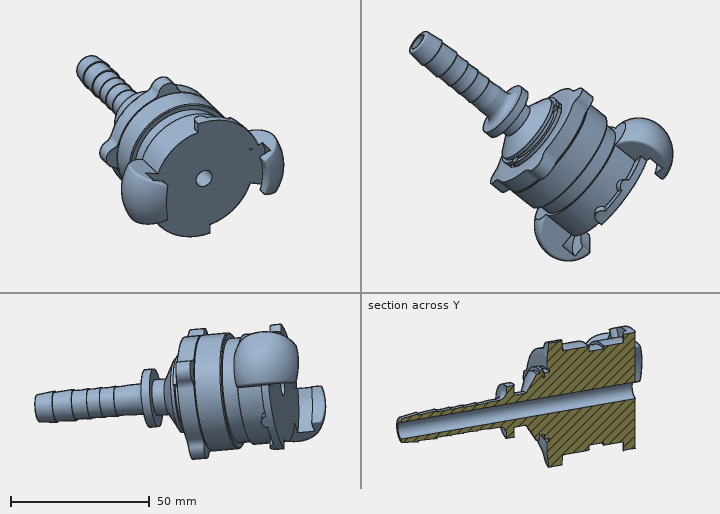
import cadquery as cq
import math

length = 101.7
bore_d = 6.5

tip_d = 10.0
tip_round = 0.7
stem_d = 10.5
large_barb_d = 11.4
large_barb_peaks = (6.7, 13.8)
small_barb_d = 11.0
small_barb_starts = (17.0, 21.8, 27.1, 31.9)
small_barb_length = 2.4

collar_d = 21.0
collar_start = 40.8
collar_end = 44.0
collar_fillet = 3.0
neck_d = 13.0
cone_start = 48.4
cone_end = 52.5
cone_d = 26.8
groove_start = 53.7
groove_end = 55.5
groove_d = 23.0

ring_d = 29.3
ring_width = 1.3
ring_gap_angle = 122.0
ring_gap_direction = -112.5

nut_start = 56.5
nut_end = 62.8
lug_count = 4
nut_body_d = 41.9
nut_face_d = 38.0
nut_recess_d = 29.0
nut_recess_depth = 1.0
lug_span = 50.0
lug_tip_r = lug_span / 2
lug_round = 4.1
lug_fillet = 3.6
front_face_drop = 0.7
back_face_drop = 0.4

sleeve_d = 42.0
sleeve_end = 72.9
sleeve_chamfer = 0.4
waist_d = 37.8
head_d = 39.9
head_start = 78.5
head_end = 90.9

flange_d = 46.9
flange_width = 2.7
flange_root_z = 7.1
rib_r = 2.4
rib_x = 88.6
detent_angle = 35.5

claw_half_angle = 20.0
claw_r = 12.3
claw_x = 89.6
claw_y = 19.1
claw_crown_r = 19.3
claw_blank_half_height = 12.2
claw_edge_fillet = 0.8
claw_tip_fillet = 0.6
claw_root_y = 15.3
hook_slot_end = 97.0
hook_slot_d = 50.5
hook_throat_d = 41.3


def cylinder(diameter, start, end):
    """Solid cylinder about the X axis between two X positions."""
    return cq.Workplane("YZ").workplane(offset=start).circle(diameter / 2).extrude(end - start)


def box(x_range, y_range, z_range):
    """Box given by its limits along each axis."""
    (x0, x1), (y0, y1), (z0, z1) = x_range, y_range, z_range
    return cq.Workplane("XY").box(x1 - x0, y1 - y0, z1 - z0, centered=False).translate((x0, y0, z0))


def revolve_about_x(profile):
    return profile.close().revolve(360, (0, 0, 0), (1, 0, 0))


def turn(shape, angle):
    """Turn a shape about the X axis."""
    return shape.rotate((0, 0, 0), (1, 0, 0), angle)


def tail():
    """Hose tail, collar, cone and grooved shoulder up to the bottom of the nut recess."""
    diagonal = math.sqrt(0.5)
    round_mid = tip_round * (1 - diagonal)
    tip_r = tip_d / 2
    profile = cq.Workplane("XY").lineTo(0, tip_r - tip_round)
    profile = profile.threePointArc((round_mid, tip_r - round_mid), (tip_round, tip_r))
    for peak in large_barb_peaks:
        profile = profile.lineTo(peak, large_barb_d / 2).lineTo(peak, stem_d / 2)
    for start in small_barb_starts:
        peak = start + small_barb_length
        profile = profile.lineTo(start, stem_d / 2).lineTo(peak, small_barb_d / 2)
        if start != small_barb_starts[-1]:
            profile = profile.lineTo(peak, stem_d / 2)
    shoulder_end = nut_start + nut_recess_depth
    fillet_start = collar_start - collar_fillet
    fillet_top = small_barb_d / 2 + collar_fillet
    profile = (
        profile.lineTo(fillet_start, small_barb_d / 2)
        .threePointArc(
            (fillet_start + collar_fillet * diagonal, fillet_top - collar_fillet * diagonal),
            (collar_start, fillet_top),
        )
        .lineTo(collar_start, collar_d / 2)
        .lineTo(collar_end, collar_d / 2)
        .lineTo(collar_end, neck_d / 2)
        .lineTo(cone_start, neck_d / 2)
        .lineTo(cone_end, cone_d / 2)
        .lineTo(groove_start, cone_d / 2)
        .lineTo(groove_start, groove_d / 2)
        .lineTo(groove_end, groove_d / 2)
        .lineTo(groove_end, cone_d / 2)
        .lineTo(shoulder_end, cone_d / 2)
        .lineTo(shoulder_end, 0)
    )
    return revolve_about_x(profile)


def snap_ring():
    """Ring seated against the front wall of the groove, open on one side."""
    ring = cylinder(ring_d, groove_start, groove_start + ring_width)
    half_gap = math.radians(ring_gap_angle / 2)
    gap_depth = ring_d
    gap_half_width = gap_depth * math.tan(half_gap)
    gap = (
        cq.Workplane("YZ")
        .workplane(offset=groove_start)
        .polyline([(0, 0), (gap_depth, -gap_half_width), (gap_depth, gap_half_width)])
        .close()
        .extrude(ring_width)
    )
    return ring.cut(turn(gap, ring_gap_direction))


def lug():
    """Nut lug pointing along +Y: a round tip blended into the nut body by concave fillets."""
    body_r = nut_body_d / 2
    tip_center = lug_tip_r - lug_round
    fillet_distance = body_r + lug_fillet
    reach = lug_round + lug_fillet
    fillet_angle = math.acos(
        (fillet_distance**2 + tip_center**2 - reach**2) / (2 * fillet_distance * tip_center)
    )
    fillet_y = fillet_distance * math.cos(fillet_angle)
    fillet_z = fillet_distance * math.sin(fillet_angle)
    foot_y = body_r * math.cos(fillet_angle)
    foot_z = body_r * math.sin(fillet_angle)
    shoulder_y = tip_center + (fillet_y - tip_center) * lug_round / reach
    shoulder_z = fillet_z * lug_round / reach
    bisector = math.atan2(
        (foot_z + shoulder_z) / 2 - fillet_z,
        (foot_y + shoulder_y) / 2 - fillet_y,
    )
    middle_y = fillet_y + lug_fillet * math.cos(bisector)
    middle_z = fillet_z + lug_fillet * math.sin(bisector)
    return (
        cq.Workplane("YZ")
        .workplane(offset=nut_start)
        .lineTo(foot_y, -foot_z)
        .threePointArc((middle_y, -middle_z), (shoulder_y, -shoulder_z))
        .threePointArc((lug_tip_r, 0), (shoulder_y, shoulder_z))
        .threePointArc((middle_y, middle_z), (foot_y, foot_z))
        .close()
        .extrude(nut_end - nut_start)
    )


def nut():
    """Nut with a shallow front recess that leaves a clearance around the shoulder."""
    blank = cylinder(nut_body_d, nut_start, nut_end)
    for index in range(lug_count):
        blank = blank.union(turn(lug(), 360 / lug_count * index))
    envelope = revolve_about_x(
        cq.Workplane("XY")
        .moveTo(nut_start, 0)
        .lineTo(nut_start, nut_face_d / 2)
        .lineTo(nut_start + front_face_drop, lug_tip_r)
        .lineTo(nut_end - back_face_drop, lug_tip_r)
        .lineTo(nut_end, nut_body_d / 2)
        .lineTo(nut_end, 0)
    )
    recess = cylinder(nut_recess_d, nut_start, nut_start + nut_recess_depth)
    return blank.intersect(envelope).cut(recess)


def head_body():
    """Chamfered sleeve, waist and plain coupling head."""
    sleeve = cylinder(sleeve_d, nut_end, sleeve_end).edges().chamfer(sleeve_chamfer)
    waist = cylinder(waist_d, sleeve_end, head_start)
    head = cylinder(head_d, head_start, head_end)
    return sleeve.union(waist).union(head)


def locking_flange():
    """Flange from the +Y claw to the +Z side, with a rounded stop at its end and a detent rib."""
    outer_r = flange_d / 2
    z_range = (flange_root_z, outer_r)
    sector = box((head_end - flange_width, head_end), (0, outer_r), z_range)
    stop_block = box((rib_x, head_end), (-rib_r, rib_r), z_range)
    rib = cq.Workplane("XY").center(rib_x, 0).circle(rib_r).extrude(outer_r)
    detent = turn(rib, -detent_angle)
    rim = cylinder(flange_d, head_start, head_end)
    return sector.union(stop_block).union(rib).union(detent).intersect(rim)


def claw():
    """Claw on the +Y side: a crowned disc trimmed by two radial planes, with a hook slot."""
    edge_r = claw_r - claw_crown_r + math.sqrt(claw_crown_r**2 - claw_blank_half_height**2)
    disc = (
        cq.Workplane("XZ")
        .moveTo(0, -claw_blank_half_height)
        .lineTo(-edge_r, -claw_blank_half_height)
        .threePointArc((-claw_r, 0), (-edge_r, claw_blank_half_height))
        .lineTo(0, claw_blank_half_height)
        .close()
        .revolve(360, (0, 0, 0), (0, 1, 0))
        .translate((claw_x, claw_y, 0))
    )
    beyond_tip = length + claw_r
    wedge_y = claw_y + 2 * claw_r
    slope = math.tan(math.radians(claw_half_angle))
    wedge = (
        cq.Workplane("YZ")
        .polyline(
            [
                (claw_root_y, -claw_root_y * slope),
                (wedge_y, -wedge_y * slope),
                (wedge_y, wedge_y * slope),
                (claw_root_y, claw_root_y * slope),
            ]
        )
        .close()
        .extrude(beyond_tip)
    )
    blank = disc.intersect(wedge).faces(">Y").edges(">Z or <Z").fillet(claw_edge_fillet)
    blank = blank.cut(cylinder(2 * wedge_y, 0, head_start))
    blank = blank.cut(cylinder(hook_throat_d, head_end, beyond_tip))
    blank = blank.faces(">Y").edges(">X").fillet(claw_tip_fillet)
    return blank.cut(cylinder(hook_slot_d, head_end, hook_slot_end))


body = tail().union(snap_ring()).union(nut()).union(head_body())
for half_turn in (0, 180):
    body = body.union(turn(locking_flange(), half_turn)).union(turn(claw(), half_turn))

result = body.cut(cylinder(bore_d, 0, head_end))